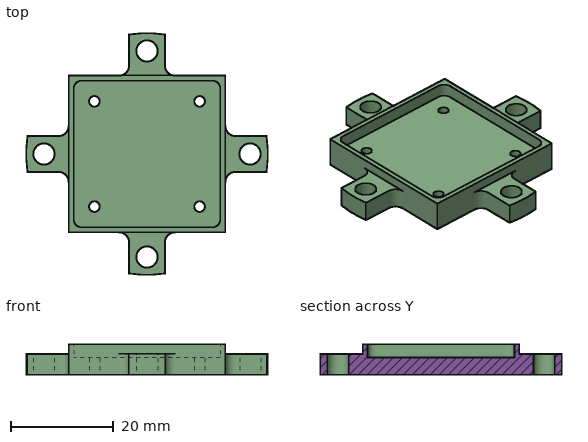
import cadquery as cq

body_side = 30.45
body_height = 6.0
rim_width = 1.0
pocket_depth = 2.6
pocket_corner_diameter = 3.25

outer_diameter = 46.95
tab_width = 7.0
tab_height = 4.1
tab_root_radius = 1.92
tab_hole_diameter = 4.1
tab_hole_spacing = 40.0

floor_hole_diameter = 2.0
floor_hole_spacing = 20.4


def make_block():
    return cq.Workplane("XY").box(body_side, body_side, body_height, centered=(True, True, False))


def make_pocket():
    pocket_side = body_side - 2 * rim_width
    return (
        cq.Workplane("XY", origin=(0, 0, body_height - pocket_depth))
        .rect(pocket_side, pocket_side)
        .extrude(pocket_depth)
        .edges("|Z")
        .fillet(pocket_corner_diameter / 2)
    )


def make_tabs():
    """Cross of four tabs with rounded roots against the tray walls."""
    half_body = body_side / 2
    half_tab = tab_width / 2
    bar_x = cq.Workplane("XY").rect(outer_diameter, tab_width).extrude(tab_height)
    bar_y = cq.Workplane("XY").rect(tab_width, outer_diameter).extrude(tab_height)
    core = cq.Workplane("XY").rect(body_side, body_side).extrude(tab_height)
    margin = 0.45
    root_edges = cq.selectors.BoxSelector(
        (-half_body - margin, -half_tab - margin, -margin),
        (half_body + margin, half_tab + margin, tab_height + margin),
    ) + cq.selectors.BoxSelector(
        (-half_tab - margin, -half_body - margin, -margin),
        (half_tab + margin, half_body + margin, tab_height + margin),
    )
    cross = core.union(bar_x).union(bar_y).edges("|Z").edges(root_edges).fillet(tab_root_radius)
    envelope = cq.Workplane("XY").circle(outer_diameter / 2).extrude(tab_height)
    return cross.intersect(envelope)


def make_holes():
    tab_offset = tab_hole_spacing / 2
    tab_centers = [(tab_offset, 0), (-tab_offset, 0), (0, tab_offset), (0, -tab_offset)]
    tab_holes = (
        cq.Workplane("XY").pushPoints(tab_centers).circle(tab_hole_diameter / 2).extrude(body_height)
    )
    floor_holes = (
        cq.Workplane("XY")
        .rarray(floor_hole_spacing, floor_hole_spacing, 2, 2)
        .circle(floor_hole_diameter / 2)
        .extrude(body_height)
    )
    return tab_holes.union(floor_holes)


result = make_block().union(make_tabs()).cut(make_pocket()).cut(make_holes())